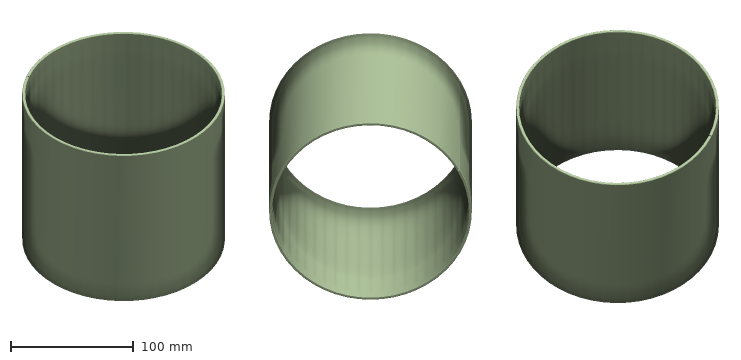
import cadquery as cq

outer_diameter = 165.0
wall_thickness = 2.5
height = 150.0
rim_chamfer = 0.41

slit_width = 1.0
slit_offset = 0.3

outer_radius = outer_diameter / 2
inner_radius = outer_radius - wall_thickness


def make_tube():
    """Open tube standing on the XY plane, chamfered on all four rim edges."""
    tube = cq.Workplane("XY").circle(outer_radius).circle(inner_radius).extrude(height)
    return tube.edges("%CIRCLE").chamfer(rim_chamfer)


def make_slit_cutter():
    """Thin block that crosses the wall on the -X side over the full height."""
    cutter_length = 4 * wall_thickness
    return (
        cq.Workplane("XY")
        .center(-outer_radius, slit_offset + slit_width / 2)
        .rect(cutter_length, slit_width)
        .extrude(height)
    )


result = make_tube().cut(make_slit_cutter())